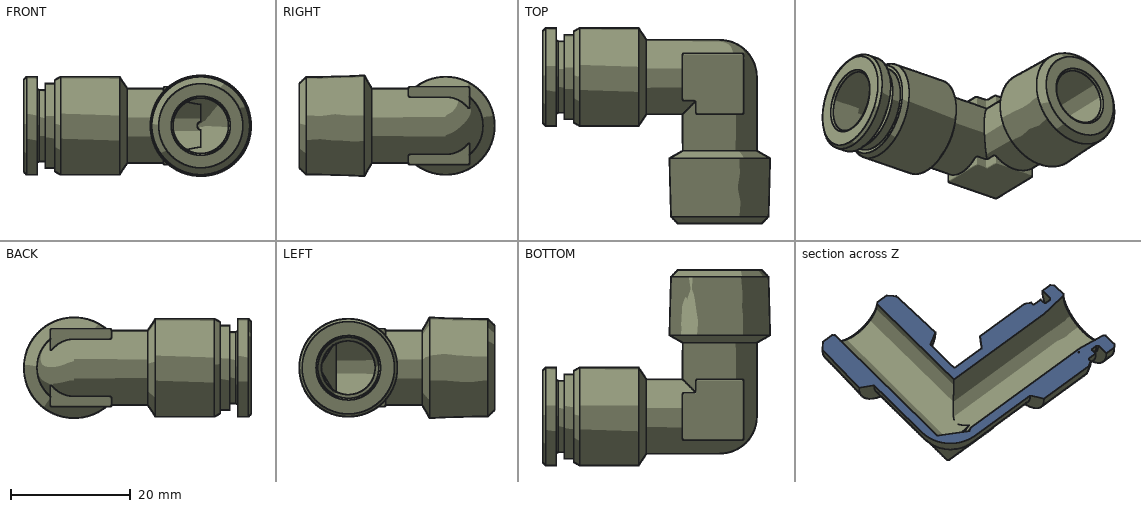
import cadquery as cq
import math


overall_length = 38.05
thread_radius = 8.45
tube_end = overall_length - thread_radius
thread_end = 24.5

neck_radius = 6.25

sleeve_radius = 8.2
collar_width = 2.3
collar_chamfer = 0.5
groove_end = 3.58
groove_radius = 6.0
groove_lip_radius = 6.15
groove_lip_width = 0.3
step_end = 5.17
step_radius = 7.08
sleeve_bevel_length = 1.0
sleeve_bevel_height = 0.57
sleeve_end = 16.0
sleeve_taper_length = 1.35

plug_length = 12.17
shoulder_length = 1.25
plug_tip_radius = 8.18
plug_chamfer_length = 1.18
plug_face_radius = 7.05

tube_entry_radius = 5.4
tube_entry_chamfer = 0.3
tube_taper_depth = 4.95
tube_bore_radius = 4.5
thread_bore_radius = 4.65
thread_bore_chamfer = 0.3
thread_bore_stop = 2.05
drill_point_angle = 118.0

pad_height = 6.55
pad_outer_edge = 4.0
pad_notch_edge = -4.0
pad_inner_edge = -neck_radius
pad_corner_radius = 0.35
pad_rim_radius = 0.3


def turned(profile):
    """Revolve (distance along the axis, radius) points about X."""
    return cq.Workplane("XY").polyline(profile).close().revolve(360, (0, 0, 0), (1, 0, 0))


def turned_about_y(profile):
    """Revolve (distance along the axis, radius) points about Y."""
    points = [(radius, distance) for distance, radius in profile]
    return cq.Workplane("XY").polyline(points).close().revolve(360, (0, 0, 0), (0, 1, 0))


def tube_arm():
    from_open_end = [
        (0, 0),
        (0, sleeve_radius - collar_chamfer),
        (collar_chamfer, sleeve_radius),
        (collar_width, sleeve_radius),
        (collar_width, groove_lip_radius),
        (collar_width + groove_lip_width, groove_radius),
        (groove_end, groove_radius),
        (groove_end, step_radius),
        (step_end, step_radius),
        (step_end, sleeve_radius - sleeve_bevel_height),
        (step_end + sleeve_bevel_length, sleeve_radius),
        (sleeve_end, sleeve_radius),
        (sleeve_end + sleeve_taper_length, neck_radius),
        (tube_end, neck_radius),
        (tube_end, 0),
    ]
    return turned([(distance - tube_end, radius) for distance, radius in from_open_end])


def threaded_arm():
    shoulder_start = plug_length - thread_end
    return turned_about_y([
        (0, 0),
        (0, neck_radius),
        (shoulder_start, neck_radius),
        (shoulder_start - shoulder_length, thread_radius),
        (plug_chamfer_length - thread_end, plug_tip_radius),
        (-thread_end, plug_face_radius),
        (-thread_end, 0),
    ])


def corner_pads():
    """L-shaped block through the elbow that leaves a raised pad on both sides."""
    outline = [
        (pad_inner_edge, pad_outer_edge),
        (pad_outer_edge, pad_outer_edge),
        (pad_outer_edge, pad_inner_edge),
        (pad_notch_edge, pad_inner_edge),
        (pad_notch_edge, pad_notch_edge),
        (pad_inner_edge, pad_notch_edge),
    ]
    block = cq.Workplane("XY").polyline(outline).close().extrude(pad_height, both=True)
    return block.edges("|Z").fillet(pad_corner_radius).faces("|Z").edges().fillet(pad_rim_radius)


def tube_bore():
    """Tapered socket and bore of the tube arm, flat-ended at the elbow centre."""
    socket_radius = tube_entry_radius - tube_entry_chamfer
    return turned([
        (-tube_end, 0),
        (-tube_end, tube_entry_radius),
        (tube_entry_chamfer - tube_end, socket_radius),
        (tube_taper_depth - tube_end, tube_bore_radius),
        (0, tube_bore_radius),
        (0, 0),
    ])


def thread_bore():
    """Drilled bore of the threaded arm, ending in a drill point past the tube axis."""
    point_length = thread_bore_radius / math.tan(math.radians(drill_point_angle / 2))
    return turned_about_y([
        (-thread_end, 0),
        (-thread_end, thread_bore_radius + thread_bore_chamfer),
        (thread_bore_chamfer - thread_end, thread_bore_radius),
        (thread_bore_stop, thread_bore_radius),
        (thread_bore_stop + point_length, 0),
    ])


elbow_corner = cq.Workplane("XY").sphere(neck_radius)
body = tube_arm().union(threaded_arm()).union(elbow_corner).union(corner_pads())
result = body.cut(tube_bore()).cut(thread_bore())